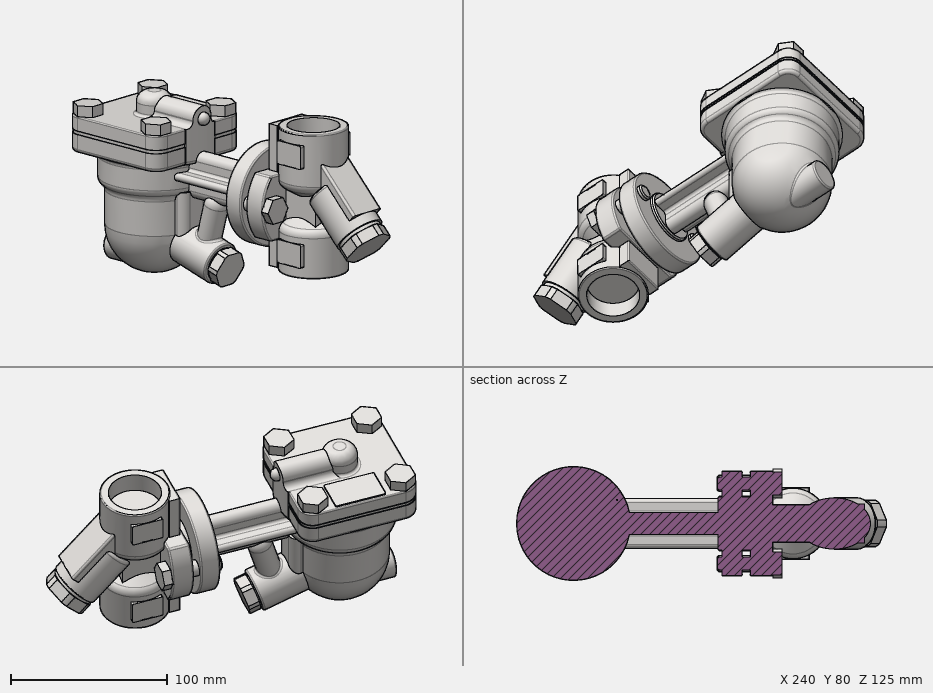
import cadquery as cq
import math

X_AXIS = (1, 0, 0)
Y_AXIS = (0, 1, 0)
Z_AXIS = (0, 0, 1)

BODY_RADIUS = 32.0
BODY_BOTTOM = -71.9
RING_RADIUS = 36.4
RING_BOTTOM = -8.3
RING_TOP = 5.6
SHOULDER_BOTTOM = -17.0
NECK_FLARE = 2.2

PLATE_SIZE = 80.0
PLATE_CORNER = 10.0
PLATE_EDGE = 0.8
FLANGE_BOTTOM = 8.6
FLANGE_TOP = 20.9
FLANGE_UNDER_EDGE = 2.4
COVER_BOTTOM = 23.2
COVER_TOP = 32.8
GASKET_INSET = 0.5
COVER_BOLT_OFFSET = 30.0
COVER_BOLT_AF = 17.0
COVER_BOLT_HEIGHT = 7.3
LABEL_SIZE = (34.4, 21.8)
LABEL_Y = 27.1
LABEL_THICKNESS = 0.9
LABEL_CORNER = 1.0

DOME_RADIUS = 11.5
DOME_HEIGHT = 15.4
DOME_ROUND = 7.3
DOME_FLARE = 2.0
ARM_RADIUS = 8.4
ARM_AXIS_Z = 37.8
ARM_END_RADIUS = 42.7
ARM_FLARE = 4.6
PAD_HALF_WIDTH = 13.5
VENT_BALL_DIAMETER = 8.73
VENT_BALL_STANDOFF = 0.3

STUB_DIAMETER = 21.0
STUB_END_X = -35.3
STUB_Z = -60.2
STUB_EDGE = 1.0
STUB_FLARE = 1.5
RIB_END_X = 37.2
RIB_HALF_WIDTH = 12.0
RIB_ROUND = 6.0
RIB_TOP = -11.0
RIB_BOTTOM = -50.0
BOSS_TILT = 15.5
BOSS_DIAMETER = 28.6
BOSS_END = (58.5, 0, -55.7)
BOSS_LENGTH = 40.0
BOSS_EDGE = 1.0
BOSS_PLUG_AF = 23.0
BOSS_PLUG_CORNER = 25.0
BOSS_PLUG_LENGTH = 8.7
BOSS_NECK_DIAMETER = 23.0
BOSS_NECK_LENGTH = 0.9
BRANCH_DIAMETER = 16.0
BRANCH_TOP = (54.6, 0, -17.5)
BRANCH_LENGTH = 29.0
BRANCH_FLARE = 1.5

PIPE_START_X = 28.0
PIPE_REACH = 16.0
PIPE_TUBE_WIDTH = 11.4
PIPE_FIN_WIDTH = 5.4
PIPE_ROOT_ROUND = 2.2
COLLAR_DIAMETER = 35.0
COLLAR_START_X = 92.2

COUPLING_RADIUS = 33.6
COUPLING_EDGE = 1.0
ROUND_FLANGE_X = (94.7, 107.8)
OVAL_FLANGE_X = (112.8, 127.4)
OVAL_HALF_HEIGHT = 21.6
COUPLING_BOLT_OFFSET = 25.6
COUPLING_BOLT_DIAMETER = 10.5
COUPLING_BOLT_END_X = 91.8
NUT_AF = 16.0
NUT_HEIGHT = 5.9

SOCKET_X = 140.2
SOCKET_RADIUS = 22.5
SOCKET_EDGE = 0.8
SOCKET_SHOULDER_HEIGHT = 5.3
SOCKET_SHOULDER_RADIUS = 19.5
SOCKET_CONE_HEIGHT = 8.1
SOCKET_CONE_TIP_RADIUS = 6.0
SOCKET_BORE = 33.9
SOCKET_BORE_DEPTH = 13.0
UPPER_SOCKET_Z = (18.2, 53.1)
LOWER_SOCKET_Z = (-42.9, -16.0)
BACK_PLATE_X = (114.9, 122.4)
BACK_PLATE_HALF_WIDTH = 15.0
BACK_PLATE_EDGE = 0.8
CORE_END_X = 153.4
CORE_HALF_WIDTH = 12.0
WRENCH_PAD_SIZE = (21.0, 15.5)
WRENCH_PAD_HALF_SPAN = 22.9
WRENCH_PAD_CORNER = 1.0
WRENCH_PAD_Z = (38.0, -27.8)

STRAINER_ORIGIN = (SOCKET_X, 0, 29.2)
STRAINER_AXIS = (1, 0, -1)
STRAINER_UP = (1, 0, 1)
STRAINER_START = 21.8
STRAINER_START_DEPTH = 12.3
STRAINER_START_ROUND = 2.0
STRAINER_RIM_START = 51.5
STRAINER_END = 57.7
STRAINER_RADIUS = 16.5
STRAINER_NECK_RADIUS = 15.0
STRAINER_RIB_HALF_WIDTH = 12.6
STRAINER_RIB_ROUND = 1.5
STRAINER_RIB_LENGTH = (8.0, 51.0)
STRAINER_PLUG_AF = 30.0
STRAINER_PLUG_CORNER = 32.4
STRAINER_PLUG_START = 60.2
STRAINER_PLUG_END = 68.4


def cylinder(start, axis, diameter, length):
    plane = cq.Plane(origin=start, xDir=Y_AXIS if axis[1] == 0 else X_AXIS, normal=axis)
    return cq.Workplane(plane).circle(diameter / 2).extrude(length)


def box(x_range, y_range, z_range):
    size = [r[1] - r[0] for r in (x_range, y_range, z_range)]
    corner = (x_range[0], y_range[0], z_range[0])
    return cq.Workplane().box(*size, centered=False).translate(corner)


def hex_prism(start, axis, vertex_direction, across_flats, length, corner_diameter=None):
    """Hexagon whose first vertex lies along vertex_direction; corners may be turned down."""
    plane = cq.Plane(origin=start, xDir=vertex_direction, normal=axis)
    across_corners = across_flats / math.cos(math.pi / 6)
    prism = cq.Workplane(plane).polygon(6, across_corners).extrude(length)
    if corner_diameter:
        prism = prism.intersect(cq.Workplane(plane).circle(corner_diameter / 2).extrude(length))
    return prism


def trap_body():
    sphere_center_z = BODY_BOTTOM + BODY_RADIUS
    half_root = BODY_RADIUS * math.sqrt(0.5)
    shoulder_middle = ((BODY_RADIUS + RING_RADIUS) / 2, (SHOULDER_BOTTOM + RING_BOTTOM) / 2)
    profile = (
        cq.Workplane("XZ")
        .moveTo(0, BODY_BOTTOM)
        .threePointArc((half_root, sphere_center_z - half_root), (BODY_RADIUS, sphere_center_z))
        .lineTo(BODY_RADIUS, SHOULDER_BOTTOM)
        .tangentArcPoint(shoulder_middle, relative=False)
        .tangentArcPoint((RING_RADIUS, RING_BOTTOM), relative=False)
        .lineTo(RING_RADIUS, RING_TOP)
        .tangentArcPoint((RING_RADIUS + NECK_FLARE, FLANGE_BOTTOM), relative=False)
        .lineTo(0, FLANGE_BOTTOM)
        .close()
    )
    return profile.revolve(360, (0, 0), (0, 1))


def square_plate(bottom, top, inset=0):
    size = PLATE_SIZE - 2 * inset
    plate = cq.Workplane(origin=(0, 0, bottom)).rect(size, size).extrude(top - bottom)
    return plate.edges("|Z").fillet(PLATE_CORNER - inset)


def cover_stack():
    flange = square_plate(FLANGE_BOTTOM, FLANGE_TOP).faces("<Z").edges().fillet(FLANGE_UNDER_EDGE)
    gasket = square_plate(FLANGE_TOP, COVER_BOTTOM, GASKET_INSET)
    cover = square_plate(COVER_BOTTOM, COVER_TOP).faces(">Z").edges().fillet(PLATE_EDGE)
    label = (
        cq.Workplane(origin=(0, LABEL_Y, COVER_TOP))
        .rect(*LABEL_SIZE)
        .extrude(LABEL_THICKNESS)
        .edges("|Z")
        .fillet(LABEL_CORNER)
    )
    stack = flange.union(gasket).union(cover).union(label)
    for x in (-COVER_BOLT_OFFSET, COVER_BOLT_OFFSET):
        for y in (-COVER_BOLT_OFFSET, COVER_BOLT_OFFSET):
            head = hex_prism((x, y, COVER_TOP), Z_AXIS, Y_AXIS, COVER_BOLT_AF, COVER_BOLT_HEIGHT)
            stack = stack.union(head)
    return stack


def vent_dome():
    top = COVER_TOP + DOME_HEIGHT
    profile = (
        cq.Workplane("XZ")
        .moveTo(0, COVER_TOP)
        .lineTo(DOME_RADIUS + DOME_FLARE, COVER_TOP)
        .radiusArc((DOME_RADIUS, COVER_TOP + DOME_FLARE), DOME_FLARE)
        .lineTo(DOME_RADIUS, top - DOME_ROUND)
        .tangentArcPoint((DOME_RADIUS - DOME_ROUND, top), relative=False)
        .lineTo(0, top)
        .close()
    )
    return profile.revolve(360, (0, 0), (0, 1))


def vent_arm():
    foot = ARM_RADIUS + ARM_FLARE
    flare_top = COVER_TOP + ARM_FLARE
    arm = (
        cq.Workplane("YZ")
        .moveTo(-foot, COVER_TOP)
        .radiusArc((-ARM_RADIUS, flare_top), -ARM_FLARE)
        .lineTo(-ARM_RADIUS, ARM_AXIS_Z)
        .threePointArc((0, ARM_AXIS_Z + ARM_RADIUS), (ARM_RADIUS, ARM_AXIS_Z))
        .lineTo(ARM_RADIUS, flare_top)
        .radiusArc((foot, COVER_TOP), -ARM_FLARE)
        .close()
        .extrude(ARM_END_RADIUS)
    )
    pad_y = (-PAD_HALF_WIDTH, PAD_HALF_WIDTH)
    pad = box((0, ARM_END_RADIUS), pad_y, (FLANGE_BOTTOM, COVER_TOP))
    end_height = ARM_AXIS_Z + ARM_RADIUS - FLANGE_BOTTOM
    round_end = cylinder((0, 0, FLANGE_BOTTOM), Z_AXIS, 2 * ARM_END_RADIUS, end_height)
    round_end = round_end.faces("<Z").edges().fillet(FLANGE_UNDER_EDGE)
    ball_center = (ARM_END_RADIUS + VENT_BALL_STANDOFF, 0, ARM_AXIS_Z)
    ball = cq.Workplane().sphere(VENT_BALL_DIAMETER / 2).translate(ball_center)
    return arm.union(pad).intersect(round_end).union(ball)


def fillet_joint(solid, corner_a, corner_b, radius):
    """Fillet the edges whose centres lie between two opposite corners."""
    return solid.edges(cq.selectors.BoxSelector(corner_a, corner_b)).fillet(radius)


def body_with_drain_stub():
    stub = cylinder((STUB_END_X, 0, STUB_Z), X_AXIS, STUB_DIAMETER, -STUB_END_X)
    stub = stub.faces("<X").edges().fillet(STUB_EDGE)
    joint_a = (STUB_END_X + 2 * STUB_EDGE, -STUB_DIAMETER, BODY_BOTTOM)
    joint_b = (-STUB_DIAMETER / 4, STUB_DIAMETER, STUB_Z + STUB_DIAMETER / 2)
    return fillet_joint(trap_body().union(stub), joint_a, joint_b, STUB_FLARE)


def blowdown():
    tilt = math.radians(BOSS_TILT)
    outward = cq.Vector(math.cos(tilt), 0, -math.sin(tilt))
    downward = cq.Vector(-math.sin(tilt), 0, -math.cos(tilt))
    end = cq.Vector(*BOSS_END)
    boss = cylinder((end - outward * BOSS_LENGTH).toTuple(), outward.toTuple(), BOSS_DIAMETER, BOSS_LENGTH)
    boss = boss.faces(">X").edges().fillet(BOSS_EDGE)
    branch = cylinder(BRANCH_TOP, downward.toTuple(), BRANCH_DIAMETER, BRANCH_LENGTH)
    branch = branch.union(cq.Workplane().sphere(BRANCH_DIAMETER / 2).translate(BRANCH_TOP))
    joint = cq.Vector(*BRANCH_TOP) + downward * (BRANCH_LENGTH - BOSS_DIAMETER / 2)
    reach = cq.Vector(1, 1, 1) * BRANCH_DIAMETER / 2
    boss = fillet_joint(
        boss.union(branch), (joint - reach).toTuple(), (joint + reach).toTuple(), BRANCH_FLARE
    )
    neck = cylinder(BOSS_END, outward.toTuple(), BOSS_NECK_DIAMETER, BOSS_NECK_LENGTH)
    plug = hex_prism(
        (end + outward * BOSS_NECK_LENGTH).toTuple(),
        outward.toTuple(),
        Y_AXIS,
        BOSS_PLUG_AF,
        BOSS_PLUG_LENGTH - BOSS_NECK_LENGTH,
        BOSS_PLUG_CORNER,
    )
    rib = box((0, RIB_END_X), (-RIB_HALF_WIDTH, RIB_HALF_WIDTH), (RIB_BOTTOM, RIB_TOP))
    rib = rib.edges(">X and |Z").fillet(RIB_ROUND)
    return boss.union(neck).union(plug).union(rib)


def connecting_pipe():
    length = COLLAR_START_X - PIPE_START_X
    section = cq.Workplane("YZ", origin=(PIPE_START_X, 0, 0))
    tube = section.slot2D(2 * PIPE_REACH, PIPE_TUBE_WIDTH, 90).extrude(length)
    fins = section.slot2D(2 * PIPE_REACH, PIPE_FIN_WIDTH, 0).extrude(length)
    joint_a = (PIPE_START_X + length / 4, -PIPE_TUBE_WIDTH, -PIPE_FIN_WIDTH)
    joint_b = (COLLAR_START_X - length / 4, PIPE_TUBE_WIDTH, PIPE_FIN_WIDTH)
    pipe = fillet_joint(tube.union(fins), joint_a, joint_b, PIPE_ROOT_ROUND)
    collar_length = ROUND_FLANGE_X[0] - COLLAR_START_X
    collar = cylinder((COLLAR_START_X, 0, 0), X_AXIS, COLLAR_DIAMETER, collar_length)
    collar = collar.faces("<X").edges().chamfer(COUPLING_EDGE)
    return pipe.union(collar)


def coupling_flanges():
    disc_length = ROUND_FLANGE_X[1] - ROUND_FLANGE_X[0]
    disc = cylinder((ROUND_FLANGE_X[0], 0, 0), X_AXIS, 2 * COUPLING_RADIUS, disc_length)
    disc = disc.edges().fillet(COUPLING_EDGE)
    spacer_length = OVAL_FLANGE_X[0] - ROUND_FLANGE_X[1]
    spacer = cylinder((ROUND_FLANGE_X[1], 0, 0), X_AXIS, COLLAR_DIAMETER, spacer_length)
    oval_length = OVAL_FLANGE_X[1] - OVAL_FLANGE_X[0]
    oval = cylinder((OVAL_FLANGE_X[0], 0, 0), X_AXIS, 2 * COUPLING_RADIUS, oval_length)
    trim = box(
        OVAL_FLANGE_X,
        (-COUPLING_RADIUS, COUPLING_RADIUS),
        (-OVAL_HALF_HEIGHT, OVAL_HALF_HEIGHT),
    )
    oval = oval.intersect(trim).edges("|X").fillet(2 * COUPLING_EDGE)
    oval = oval.faces("<X or >X").edges().fillet(COUPLING_EDGE)
    flanges = disc.union(spacer).union(oval)
    bolt_length = OVAL_FLANGE_X[1] - COUPLING_BOLT_END_X
    for y in (-COUPLING_BOLT_OFFSET, COUPLING_BOLT_OFFSET):
        bolt = cylinder((COUPLING_BOLT_END_X, y, 0), X_AXIS, COUPLING_BOLT_DIAMETER, bolt_length)
        bolt = bolt.faces("<X").edges().chamfer(COUPLING_EDGE)
        nut = hex_prism((OVAL_FLANGE_X[1], y, 0), X_AXIS, Y_AXIS, NUT_AF, NUT_HEIGHT)
        flanges = flanges.union(bolt).union(nut)
    return flanges


def socket(open_z, inner_z, inward):
    """Round socket from open_z to inner_z that rounds and cones down into the core; inward is +1 or -1."""
    shoulder_z = inner_z + inward * SOCKET_SHOULDER_HEIGHT
    tip_z = shoulder_z + inward * SOCKET_CONE_HEIGHT
    profile = (
        cq.Workplane("XZ", origin=(SOCKET_X, 0, 0))
        .moveTo(0, open_z)
        .lineTo(SOCKET_RADIUS, open_z)
        .lineTo(SOCKET_RADIUS, inner_z)
        .tangentArcPoint((SOCKET_SHOULDER_RADIUS, shoulder_z), relative=False)
        .lineTo(SOCKET_CONE_TIP_RADIUS, tip_z)
        .lineTo(0, tip_z)
        .close()
        .revolve(360, (0, 0), (0, 1))
    )
    return profile.faces("<Z" if inward > 0 else ">Z").edges().fillet(SOCKET_EDGE)


def connector_body():
    upper = socket(UPPER_SOCKET_Z[1], UPPER_SOCKET_Z[0], -1)
    lower = socket(LOWER_SOCKET_Z[0], LOWER_SOCKET_Z[1], 1)
    plate_z = (LOWER_SOCKET_Z[0] + SOCKET_EDGE, UPPER_SOCKET_Z[1] - SOCKET_EDGE)
    plate_y = (-BACK_PLATE_HALF_WIDTH, BACK_PLATE_HALF_WIDTH)
    plate = box(BACK_PLATE_X, plate_y, plate_z).faces("<X").edges().fillet(BACK_PLATE_EDGE)
    core_y = (-CORE_HALF_WIDTH, CORE_HALF_WIDTH)
    core = box((BACK_PLATE_X[1], CORE_END_X), core_y, (LOWER_SOCKET_Z[1], UPPER_SOCKET_Z[0]))
    body = upper.union(lower).union(plate).union(core)
    for z in WRENCH_PAD_Z:
        pads = (
            cq.Workplane("XZ", origin=(SOCKET_X, 0, z))
            .rect(*WRENCH_PAD_SIZE)
            .extrude(WRENCH_PAD_HALF_SPAN, both=True)
            .edges("|Y")
            .fillet(WRENCH_PAD_CORNER)
        )
        body = body.union(pads)
    return body


def strainer_point(distance):
    step = cq.Vector(*STRAINER_AXIS).normalized() * distance
    return (cq.Vector(*STRAINER_ORIGIN) + step).toTuple()


def strainer_arm():
    side_plane = cq.Plane(origin=STRAINER_ORIGIN, xDir=STRAINER_UP, normal=Y_AXIS)
    throat_length = STRAINER_RIM_START - STRAINER_START
    throat = cylinder(strainer_point(STRAINER_START), STRAINER_AXIS, 2 * STRAINER_RADIUS, throat_length)
    tapered_underside = (
        cq.Workplane(side_plane)
        .moveTo(-STRAINER_START_DEPTH, STRAINER_START)
        .lineTo(STRAINER_RADIUS, STRAINER_START)
        .lineTo(STRAINER_RADIUS, STRAINER_RIM_START)
        .lineTo(-STRAINER_RADIUS, STRAINER_RIM_START)
        .close()
        .extrude(STRAINER_RADIUS, both=True)
    )
    throat = throat.intersect(tapered_underside)
    start_face = cq.selectors.DirectionMinMaxSelector(cq.Vector(*STRAINER_AXIS), False)
    throat = throat.faces(start_face).edges().fillet(STRAINER_START_ROUND)
    rim_start = strainer_point(STRAINER_RIM_START)
    rim_length = STRAINER_END - STRAINER_RIM_START
    rim = cylinder(rim_start, STRAINER_AXIS, 2 * STRAINER_RADIUS, rim_length)
    neck_length = STRAINER_PLUG_START - STRAINER_END
    neck = cylinder(strainer_point(STRAINER_END), STRAINER_AXIS, 2 * STRAINER_NECK_RADIUS, neck_length)
    rib_start, rib_end = STRAINER_RIB_LENGTH
    rib = (
        cq.Workplane(side_plane)
        .moveTo(0, rib_start)
        .lineTo(STRAINER_RADIUS, rib_start)
        .lineTo(STRAINER_RADIUS, rib_end)
        .lineTo(0, rib_end)
        .close()
        .extrude(STRAINER_RIB_HALF_WIDTH, both=True)
    )
    outer_face = cq.selectors.DirectionMinMaxSelector(cq.Vector(*STRAINER_UP), True)
    long_edges = cq.selectors.ParallelDirSelector(cq.Vector(*STRAINER_AXIS))
    rib = rib.faces(outer_face).edges(long_edges).fillet(STRAINER_RIB_ROUND)
    plug = hex_prism(
        strainer_point(STRAINER_PLUG_START),
        STRAINER_AXIS,
        STRAINER_UP,
        STRAINER_PLUG_AF,
        STRAINER_PLUG_END - STRAINER_PLUG_START,
        STRAINER_PLUG_CORNER,
    )
    return throat.union(rim).union(neck).union(rib).union(plug)


def socket_bores():
    upper_floor = UPPER_SOCKET_Z[1] - SOCKET_BORE_DEPTH
    upper = cylinder((SOCKET_X, 0, upper_floor), Z_AXIS, SOCKET_BORE, SOCKET_BORE_DEPTH)
    lower = cylinder((SOCKET_X, 0, LOWER_SOCKET_Z[0]), Z_AXIS, SOCKET_BORE, SOCKET_BORE_DEPTH)
    return upper.union(lower)


trap = body_with_drain_stub().union(blowdown())
trap = trap.union(cover_stack()).union(vent_dome()).union(vent_arm())
connector = connector_body().union(strainer_arm()).cut(socket_bores())
result = trap.union(connecting_pipe()).union(coupling_flanges()).union(connector)